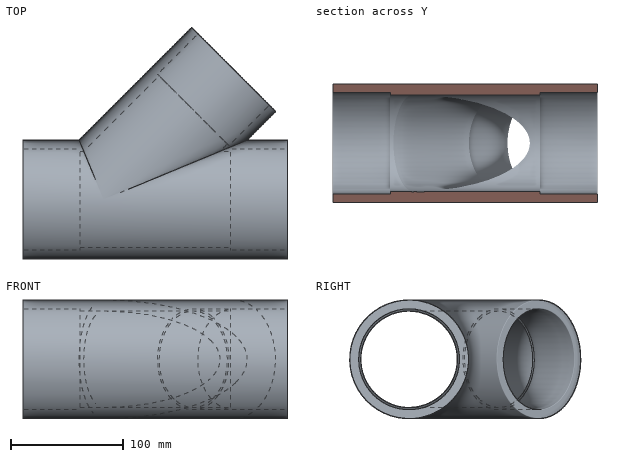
import cadquery as cq
import math

OUTER_DIAMETER = 106.0
SOCKET_DIAMETER = 90.0
BORE_DIAMETER = 86.0
RUN_LENGTH = 236.0
SHORT_ARM = 72.0
BRANCH_ANGLE = 45.0
SOCKET_DEPTH = 51.0
RIM_RADIUS = 0.5

LONG_ARM = RUN_LENGTH - SHORT_ARM
BRANCH_LENGTH = LONG_ARM

JUNCTION_X = SHORT_ARM - RUN_LENGTH / 2
ANGLE = math.radians(BRANCH_ANGLE)
RUN_DIRECTION = (1, 0, 0)
BACK_DIRECTION = (-1, 0, 0)
BRANCH_DIRECTION = (math.cos(ANGLE), math.sin(ANGLE), 0)

ARMS = [
    (BACK_DIRECTION, SHORT_ARM),
    (RUN_DIRECTION, LONG_ARM),
    (BRANCH_DIRECTION, BRANCH_LENGTH),
]


def arm_cylinder(direction, diameter, start, end):
    """Workplane cylinder along an arm, between two distances from the junction."""
    dx, dy, dz = direction
    base = (JUNCTION_X + dx * start, dy * start, dz * start)
    plane = cq.Plane(origin=base, xDir=(0, 0, 1), normal=direction)
    return cq.Workplane(plane).circle(diameter / 2).extrude(end - start)


def make_outer_body():
    """Solid run and branch with square ends."""
    run = arm_cylinder(RUN_DIRECTION, OUTER_DIAMETER, -SHORT_ARM, LONG_ARM)
    branch = arm_cylinder(BRANCH_DIRECTION, OUTER_DIAMETER, 0, BRANCH_LENGTH)
    return run.union(branch)


def cut_bores(body):
    """Bore through the run and from the junction out through the branch."""
    body = body.cut(arm_cylinder(RUN_DIRECTION, BORE_DIAMETER, -SHORT_ARM, LONG_ARM))
    return body.cut(arm_cylinder(BRANCH_DIRECTION, BORE_DIAMETER, 0, BRANCH_LENGTH))


def cut_sockets(body):
    """Widen each open end into a pipe socket with a flat shoulder."""
    for direction, length in ARMS:
        socket = arm_cylinder(direction, SOCKET_DIAMETER, length - SOCKET_DEPTH, length)
        body = body.cut(socket)
    return body


def round_rims(body):
    """Round the outer and inner edge of each open end."""
    for direction, _ in ARMS:
        outermost = cq.selectors.DirectionMinMaxSelector(cq.Vector(*direction))
        body = body.faces(outermost).edges().fillet(RIM_RADIUS)
    return body


body = make_outer_body()
body = cut_bores(body)
body = cut_sockets(body)
result = round_rims(body)